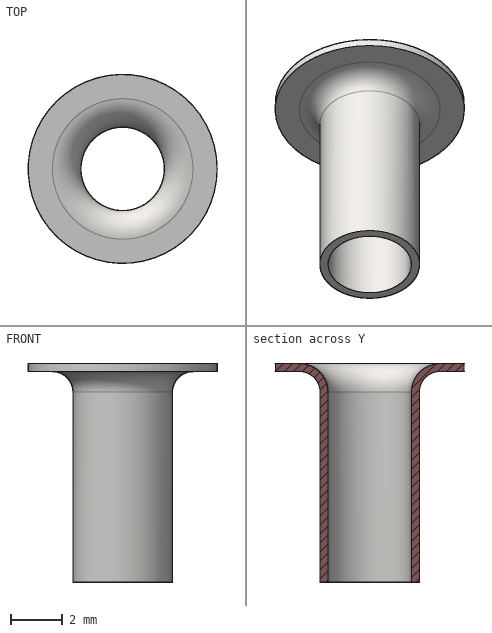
import cadquery as cq

height = 8.53
flange_radius = 3.685
bore_radius = 1.62
wall = 0.32
mouth_radius = 1.12

tube_radius = bore_radius + wall
neck_radius = mouth_radius - wall
flare_center_r = bore_radius + mouth_radius
flare_center_z = height - mouth_radius
flange_bottom = height - wall


def arc_middle(radius):
    """Midpoint of a flare arc, halfway between the tube and the flange."""
    offset = radius / 2**0.5
    return (flare_center_r - offset, flare_center_z + offset)


profile = (
    cq.Workplane("XZ")
    .moveTo(bore_radius, 0)
    .lineTo(tube_radius, 0)
    .lineTo(tube_radius, flare_center_z)
    .threePointArc(arc_middle(neck_radius), (flare_center_r, flange_bottom))
    .lineTo(flange_radius, flange_bottom)
    .lineTo(flange_radius, height)
    .lineTo(flare_center_r, height)
    .threePointArc(arc_middle(mouth_radius), (bore_radius, flare_center_z))
    .close()
)

result = profile.revolve(360, (0, 0, 0), (0, 1, 0))